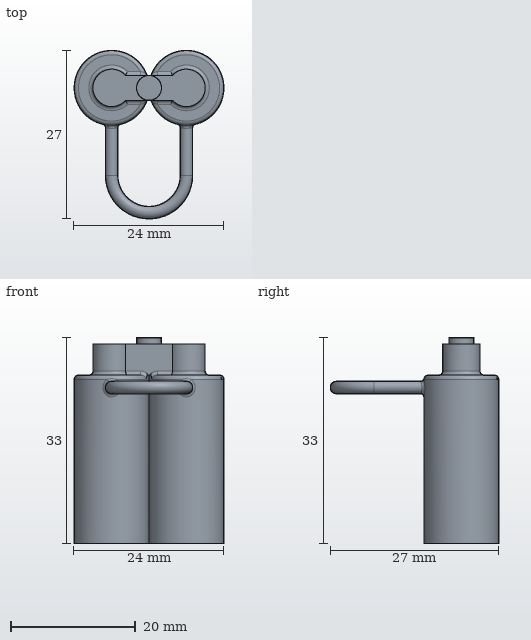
import cadquery as cq
import math

barrel_spacing = 11.98
barrel_diameter = 12.0
barrel_height = 27.0
rim_radius = 0.7
neck_diameter = 6.0
neck_height = 5.0
bridge_width = 4.0
foot_radius = 0.65
button_diameter = 4.0
total_height = 33.0
wire_diameter = 2.0
wire_height = 25.0
wire_root_radius = 0.5
total_depth = 27.0
tolerance = 0.003

barrel_radius = barrel_diameter / 2
barrel_x = barrel_spacing / 2
neck_radius = neck_diameter / 2
neck_top = barrel_height + neck_height
bridge_root = barrel_height - 2 * rim_radius
wire_radius = wire_diameter / 2
bend_radius = barrel_x
bend_y = -(total_depth - barrel_radius - bend_radius - wire_radius)


def cylinder(x, diameter, bottom, top):
    """Upright cylinder centred on the XZ plane, with its seam on the -X side."""
    upright = cq.Workplane("XY").circle(diameter / 2).extrude(top - bottom)
    return upright.rotate((0, 0, 0), (0, 0, 1), 180).translate((x, 0, bottom))


def bridge(bottom):
    """Straight bar from one barrel axis to the other, level with the neck tops."""
    outline = cq.Workplane("XY", origin=(0, 0, bottom)).rect(barrel_spacing, bridge_width)
    return outline.extrude(neck_top - bottom)


def is_foot_edge(edge):
    """True where the neck or the bridge sides meet the barrel's top face and rounded rim."""
    middle = edge.positionAt(0.5)
    box = edge.BoundingBox()
    on_neck = abs(math.hypot(middle.x + barrel_x, middle.y) - neck_radius) < tolerance
    on_bridge_side = abs(abs(middle.y) - bridge_width / 2) < tolerance
    ends_at_top_face = abs(box.zmax - barrel_height) < tolerance
    return ends_at_top_face and (on_neck or on_bridge_side)


def left_barrel():
    """Left barrel with its neck and a cove that follows the bridge sides down over the rim."""
    barrel = cylinder(-barrel_x, barrel_diameter, 0, barrel_height)
    barrel = barrel.faces(">Z").edges().fillet(rim_radius)
    neck = cylinder(-barrel_x, neck_diameter, barrel_height, neck_top)
    body = barrel.union(bridge(bridge_root)).union(neck)
    foot_edges = [edge for edge in body.edges().vals() if is_foot_edge(edge)]
    body = body.newObject(foot_edges).fillet(foot_radius)
    return body.intersect(cylinder(-barrel_x, barrel_diameter, 0, neck_top))


def add_wire_leg(body):
    """Straight wire leg leaving the barrel towards -Y, filleted where it enters the wall."""
    leg = cq.Workplane("XZ", origin=(-barrel_x, 0, wire_height)).circle(wire_radius).extrude(-bend_y)
    body = body.union(leg)
    root_box = cq.selectors.BoxSelector(
        (-barrel_x - wire_diameter, -barrel_radius - tolerance, wire_height - wire_diameter),
        (-barrel_x + wire_diameter, -barrel_radius + wire_radius, wire_height + wire_diameter),
        boundingbox=True,
    )
    return body.edges(root_box).fillet(wire_root_radius)


def wire_bend():
    """Half ring that joins the ends of the two wire legs."""
    section = cq.Workplane("XZ", origin=(-barrel_x, bend_y, wire_height)).circle(wire_radius)
    return section.revolve(180, (bend_radius, 0, 0), (bend_radius, 1, 0))


left_half = add_wire_leg(left_barrel())
right_half = left_half.mirror("YZ")
button = cylinder(0, button_diameter, neck_top, total_height)

result = left_half.union(right_half).union(bridge(barrel_height)).union(wire_bend()).union(button)